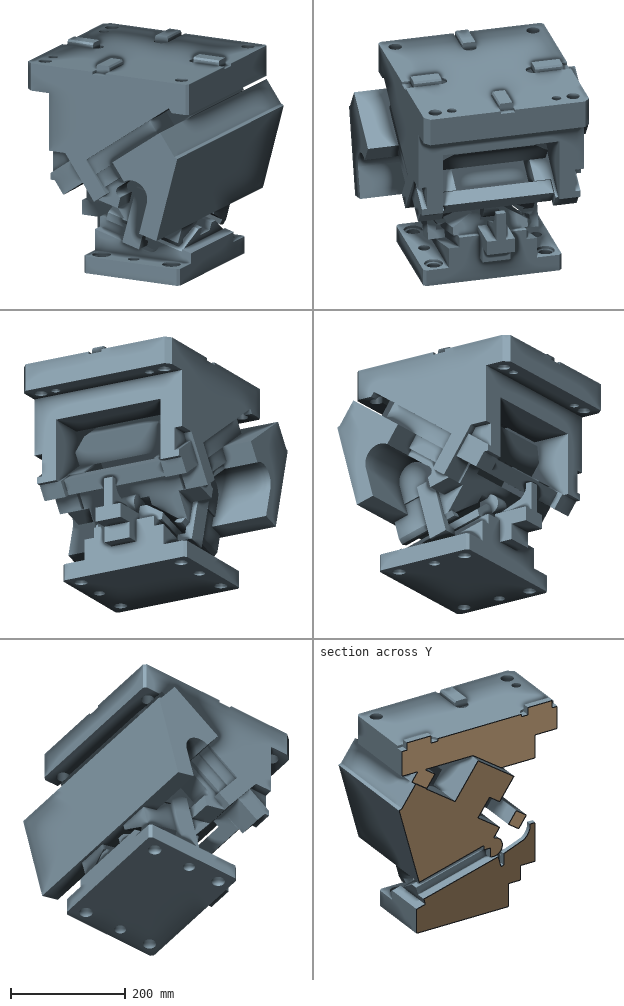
import cadquery as cq
import math


TRAVEL_ANGLE = math.radians(35)
TRAVEL_ORIGIN = (112.5, 171.0)

RIDGE_ANGLE = math.radians(15)
RIDGE_ORIGIN = (125.5, 121.0)

PLATE_LENGTH = 320.5
PLATE_HALF = 149.5
PLATE_TOP = 374.5
PLATE_FRONT_UNDERSIDE = 325.0
PLATE_REAR_UNDERSIDE = 319.5
PLATE_FRONT_CHAMFER = (11.0, 9.0)
PLATE_REAR_CHAMFER = 5.0
LEG_FRONT = 45.5
LEG_NOTCH_TOP = 220.5
LEG_INNER_HALF = 105.5
LEG_CORE_HALF = 134.5
CLAW_LENGTH = 29.0
CLAW_BOTTOM = -39.0
WINDOW_TOP = 279.0
CHANNEL_CLEARANCE = 4
RAIL_THICKNESS = 30.5
RAIL_END = 180.5
RAIL_INNER_HALF = 71.0
RAIL_OUTER_HALF = 145.0
END_STOP_START = 191.0
END_STOP_END = 229.0
STOP_HALF = 99.5
BAR_START = -40
BAR_END = -13.5
BAR_HEIGHT = 28.5
CLAMP_LENGTH = 50.5
CLAMP_HEIGHT = 44.5
CLAMP_FRONT_TOP = 178.5
FILLER_INNER_HALF = 101.0
FILLER_HEIGHT = 29.5
CLAMP_OUTER_HALF = 143.5
MOUNT_HOLE_DIAMETER = 23.0
DOWEL_HOLE_DIAMETER = 17.0
FRONT_HOLE_X = 25.5
REAR_HOLE_X = 295.0
MOUNT_HOLE_Y = 125.0
DOWEL_HOLE_Y = 95.0

KEY_TOP = 384
KEY_LENGTH = 50.5
KEY_WIDTH = 25.5
KEY_CHAMFER_DROP = 3.5
KEY_CHAMFER_INSET = 2.0
KEYWAY_DEPTH = 5.0
KEYWAY_X = 145.0
KEY_EDGE_GAP_X = 11.0
KEY_EDGE_GAP_Y = 15.0

SLIDE_HALF = 200
WING_FRONT = 104.5
WING_END = 219.0
WING_END_DEPTH = 49.5
WING_TIP_HEIGHT = 180
WING_BOTTOM = 20.5
WING_REAR = 159.0
ARCH_FRONT = 44.5
ARCH_REAR = 124
ARCH_STEP = 41.0
ARCH_RADIUS = 31.0
ARCH_NOSE_RADIUS = 10.0
ARCH_INNER_HALF = 94.0
UPPER_CORE_HALF = 100
LOWER_CORE_HALF = 90.5
LOWER_CORE_BOTTOM = -15.0
LOWER_CORE_REAR = 153.0
FLANK_HALF = 134.5
LIP_HALF = 142.0
LIP_DEPTH = 27.0
SKIRT_START = 38.5
SKIRT_BOTTOM_HALF = 84.5
SKIRT_BOTTOM = -23.0
TROUGH_DEPTH = 10.5
NECK_START = 54.5
HEAD_HALF = 100
HEAD_START = 29.0
HEAD_END = 120
HEAD_HEIGHT = 52
HEAD_CHAMFER = (26.0, 24.5)
KEEL_SLOT_HALF = 31.0
CAVITY_CROWN = 10.5
CAVITY_SHOULDER = (73.5, -11.0)
CAVITY_PAD = (69.0, -19.5)
CAVITY_MOUTH_HALF = 80
NOSE_HALF = 13.0
NOSE_RADIUS = 18.5
NOSE_CENTRE = (131.0, 126.5)
NOSE_LIP = 7.0
NOSE_NECK_LENGTH = 20

HOOK_START = 54.0
HOOK_END = 88.5
HOOK_TOP = 56
HOOK_BOTTOM = -51.0
HOOK_TOE_TOP = -36.5
HOOK_INNER_HALF = 84.5
HOOK_OUTER_HALF = 100
HOOK_TOE_HALF = 69.5

BASE_FRONT = 100.5
BASE_REAR = 290.0
BASE_HALF = 125.0
BASE_THICKNESS = 30.5
BASE_CHAMFER = 5.0
PEDESTAL_HALF = 80
PEDESTAL_TOP = 87.0
RIDGE_LENGTH = 159.0
RIDGE_TOP_HALF = 31.0
RIDGE_SLOPE = 0.64
RIDGE_FOOT = -37.5
RIDGE_NOTCH_HALF = 17.5
RIDGE_NOTCH_DEPTH = 15.5
REAR_SEAT = -27.0
SIDE_RELIEF_HALF = 67.5
GROOVE_HALF = 61.0
GROOVE_BOTTOM = -57.0
GROOVE_END = 115.0
GROOVE_END_RADIUS = 19.0
BOLT_HOLE_X = (124.5, 262.5)
BOLT_HOLE_Y = 101.0
BOLT_HOLE_DIAMETER = 23.5
BOLT_HEAD_DIAMETER = 33.0
BOLT_HEAD_DEPTH = 5.0
PIN_HOLE_X = 188
PIN_HOLE_DIAMETER = 21.0

FIN_FRONT = 45.5
FIN_BACK = 111.0
FIN_HALF = 8.5
FIN_TOP = 152
FIN_TOP_LENGTH = 11.0
FIN_CURVE_MIDDLE = (60, 135.0)
FIN_CURVE_END = (69.5, 124.5)
FIN_BACK_TOP = 108.5
BLOCK_HALF = 25.0
BLOCK_TOP = 100.5
BLOCK_UNDERSIDE = 74.5
BLOCK_STEP_X = 76
BLOCK_BOTTOM = 45.5

FAR = 400


def travel(u, v):
    """X, Z of a point given in the slide travel frame."""
    x = TRAVEL_ORIGIN[0] + u * math.cos(TRAVEL_ANGLE) - v * math.sin(TRAVEL_ANGLE)
    z = TRAVEL_ORIGIN[1] + u * math.sin(TRAVEL_ANGLE) + v * math.cos(TRAVEL_ANGLE)
    return (x, z)


def ridge(s, w):
    """X, Z of a point given in the ridge frame."""
    x = RIDGE_ORIGIN[0] + s * math.cos(RIDGE_ANGLE) + w * math.sin(RIDGE_ANGLE)
    z = RIDGE_ORIGIN[1] - s * math.sin(RIDGE_ANGLE) + w * math.cos(RIDGE_ANGLE)
    return (x, z)


def prism(points, half):
    """A profile in XZ, extruded to half on both sides of the centre plane."""
    return cq.Workplane("XZ").polyline(points).close().extrude(half, both=True)


def rounded(body, corner, radius):
    """The prism with its edge at the X, Z corner filleted."""
    x, z = corner
    return body.edges(cq.selectors.NearestToPointSelector((x, 0, z))).fillet(radius)


def pair(points, inner, outer):
    """Two mirrored prisms between the inner and outer half widths."""
    return prism(points, outer).cut(prism(points, inner))


def rectangle(frame, start, end, bottom, top):
    """Corner points of a rectangle in the travel or ridge frame."""
    return [frame(start, bottom), frame(end, bottom), frame(end, top), frame(start, top)]


def mirrored(half_points):
    """A Y-symmetric outline from its points on the +Y side."""
    return half_points + [(-y, height) for y, height in reversed(half_points)]


def along_travel(half_points, start, end):
    """A Y-symmetric section extruded along the slide travel."""
    x, z = travel(start, 0)
    direction = (math.cos(TRAVEL_ANGLE), 0, math.sin(TRAVEL_ANGLE))
    plane = cq.Plane(origin=(x, 0, z), xDir=(0, 1, 0), normal=direction)
    return cq.Workplane(plane).polyline(mirrored(half_points)).close().extrude(end - start)


def along_ridge(half_points, start, end):
    """A Y-symmetric section extruded along the ridge."""
    x, z = ridge(start, 0)
    direction = (math.cos(RIDGE_ANGLE), 0, -math.sin(RIDGE_ANGLE))
    plane = cq.Plane(origin=(x, 0, z), xDir=(0, 1, 0), normal=direction)
    return cq.Workplane(plane).polyline(mirrored(half_points)).close().extrude(end - start)


def vertical_holes(points, diameter, bottom, top):
    """Cylinders that cut round holes from bottom to top."""
    plane = cq.Workplane("XY").workplane(offset=bottom)
    return plane.pushPoints(points).circle(diameter / 2).extrude(top - bottom)


def on_both_sides(x, y):
    return [(x, y), (x, -y)]


def ridge_height(y):
    """w of the sloping ridge flank at half width y."""
    return -(y - RIDGE_TOP_HALF) * RIDGE_SLOPE


def holder_plate():
    dx, dy = PLATE_FRONT_CHAMFER
    rear = PLATE_LENGTH - PLATE_REAR_CHAMFER
    side = PLATE_HALF - PLATE_REAR_CHAMFER
    outline = [(0, PLATE_HALF - dy), (dx, PLATE_HALF), (rear, PLATE_HALF), (PLATE_LENGTH, side)]
    outline += [(x, -y) for x, y in reversed(outline)]
    return cq.Workplane("XY").polyline(outline).close().extrude(PLATE_TOP)


def leg_foot():
    """X, Z of the rear corner of the leg foot, on the front face of the clamps."""
    return travel(-CLAMP_LENGTH, FILLER_HEIGHT)


def holder_body():
    incline = math.tan(TRAVEL_ANGLE)
    x, z = travel(END_STOP_END, RAIL_THICKNESS)
    underside_end = x + (z - PLATE_REAR_UNDERSIDE) * incline
    x, z = travel(0, 0)
    notch_corner = x - (LEG_NOTCH_TOP - z) * incline
    profile = [
        (0, PLATE_TOP),
        (0, PLATE_FRONT_UNDERSIDE),
        (LEG_FRONT, PLATE_FRONT_UNDERSIDE),
        (LEG_FRONT, LEG_NOTCH_TOP),
        (notch_corner, LEG_NOTCH_TOP),
        travel(0, CLAW_BOTTOM),
        travel(CLAW_LENGTH, CLAW_BOTTOM),
        travel(CLAW_LENGTH, RAIL_THICKNESS),
        travel(END_STOP_END, RAIL_THICKNESS),
        (underside_end, PLATE_REAR_UNDERSIDE),
        (PLATE_LENGTH, PLATE_REAR_UNDERSIDE),
        (PLATE_LENGTH, PLATE_TOP),
    ]
    foot = leg_foot()
    leg_core = [
        (LEG_FRONT, LEG_NOTCH_TOP),
        (LEG_FRONT, foot[1]),
        foot,
        travel(0, 0),
        (notch_corner, LEG_NOTCH_TOP),
    ]
    body = prism(profile, PLATE_HALF).intersect(holder_plate())
    return body.union(prism(leg_core, LEG_CORE_HALF)).cut(holder_channel())


def holder_channel():
    """The space between the legs, with a roof that rises along the slide travel."""
    incline = math.tan(TRAVEL_ANGLE)
    x, z = travel(0, RAIL_THICKNESS + HEAD_HEIGHT + CHANNEL_CLEARANCE)
    roof_low = x + (WINDOW_TOP - z) / incline
    roof_high = x + (PLATE_REAR_UNDERSIDE - z) / incline
    profile = [
        (0, WINDOW_TOP),
        (roof_low, WINDOW_TOP),
        (roof_high, PLATE_REAR_UNDERSIDE),
        (FAR, PLATE_REAR_UNDERSIDE),
        (FAR, 0),
        (0, 0),
    ]
    return prism(profile, LEG_INNER_HALF)


def holder_guides():
    foot = leg_foot()
    clamp = [
        travel(0, 0),
        travel(-CLAMP_LENGTH, 0),
        foot,
        (LEG_FRONT, foot[1]),
        (LEG_FRONT, CLAMP_FRONT_TOP),
        travel(0, CLAMP_HEIGHT),
    ]
    filler = rectangle(travel, -CLAMP_LENGTH, 0, 0, FILLER_HEIGHT)
    front_rail = rectangle(travel, BAR_END, CLAW_LENGTH, 0, RAIL_THICKNESS)
    rail = rectangle(travel, CLAW_LENGTH, RAIL_END, 0, RAIL_THICKNESS)
    bar = rectangle(travel, BAR_START, BAR_END, 0, BAR_HEIGHT)
    end_stop = rectangle(travel, END_STOP_START, END_STOP_END, 0, RAIL_THICKNESS)
    guides = pair(rail, RAIL_INNER_HALF, RAIL_OUTER_HALF)
    guides = guides.union(pair(front_rail, RAIL_INNER_HALF, LEG_CORE_HALF))
    guides = guides.union(pair(clamp, LEG_INNER_HALF, CLAMP_OUTER_HALF))
    guides = guides.union(pair(filler, FILLER_INNER_HALF, LEG_INNER_HALF))
    return guides.union(prism(bar, STOP_HALF)).union(prism(end_stop, STOP_HALF))


def keyway_and_key(x, y, angle, gap):
    """Cutter and key for an edge at (x, y), pointing inward along the angle."""
    floor = PLATE_TOP - KEYWAY_DEPTH
    slot_end = gap + KEY_LENGTH
    keyway = cq.Workplane("XY").workplane(offset=floor).center(slot_end / 2, 0)
    keyway = keyway.rect(slot_end, KEY_WIDTH).extrude(FAR)
    round_end = cq.Workplane("XY").workplane(offset=floor).center(slot_end, 0)
    keyway = keyway.union(round_end.circle(KEY_WIDTH / 2).extrude(FAR))
    top_half = KEY_WIDTH / 2 - KEY_CHAMFER_INSET
    shoulder = KEY_TOP - KEY_CHAMFER_DROP
    section = mirrored([(KEY_WIDTH / 2, floor), (KEY_WIDTH / 2, shoulder), (top_half, KEY_TOP)])
    key = cq.Workplane("YZ").workplane(offset=gap).polyline(section).close().extrude(KEY_LENGTH)
    return [part.rotate((0, 0, 0), (0, 0, 1), angle).translate((x, y, 0)) for part in (keyway, key)]


def make_holder():
    body = holder_body().union(holder_guides())
    mount_holes = on_both_sides(FRONT_HOLE_X, MOUNT_HOLE_Y) + on_both_sides(REAR_HOLE_X, MOUNT_HOLE_Y)
    dowel_holes = on_both_sides(FRONT_HOLE_X, DOWEL_HOLE_Y)
    hole_bottom = PLATE_REAR_UNDERSIDE
    body = body.cut(vertical_holes(mount_holes, MOUNT_HOLE_DIAMETER, hole_bottom, PLATE_TOP))
    body = body.cut(vertical_holes(dowel_holes, DOWEL_HOLE_DIAMETER, hole_bottom, PLATE_TOP))
    edges = [
        (0, 0, 0, KEY_EDGE_GAP_X),
        (PLATE_LENGTH, 0, 180, KEY_EDGE_GAP_X),
        (KEYWAY_X, -PLATE_HALF, 90, KEY_EDGE_GAP_Y),
        (KEYWAY_X, PLATE_HALF, -90, KEY_EDGE_GAP_Y),
    ]
    for edge in edges:
        keyway, key = keyway_and_key(*edge)
        body = body.cut(keyway).union(key)
    return body


def slide_wings():
    wing = [
        travel(WING_FRONT, 0),
        travel(WING_END, 0),
        travel(WING_END, -WING_END_DEPTH),
        ridge(WING_REAR, WING_TIP_HEIGHT),
        ridge(WING_REAR, WING_BOTTOM),
        ridge(ARCH_REAR, WING_BOTTOM),
        travel(WING_FRONT, CLAW_BOTTOM),
    ]
    flank = [
        travel(0, CLAW_BOTTOM),
        travel(CLAW_LENGTH, CLAW_BOTTOM),
        travel(CLAW_LENGTH, 0),
        travel(WING_FRONT, 0),
        travel(WING_FRONT, CLAW_BOTTOM),
        ridge(ARCH_FRONT, WING_BOTTOM),
    ]
    lip = rectangle(travel, CLAW_LENGTH, WING_FRONT, -LIP_DEPTH, 0)
    return prism(wing, SLIDE_HALF).union(prism(flank, FLANK_HALF)).union(prism(lip, LIP_HALF))


def side_arch():
    """The arched opening under the wings, with a rounded nose that reaches forward."""
    turn = TRAVEL_ANGLE + RIDGE_ANGLE
    x, z = ridge(0, 0)
    sin_travel, cos_travel = math.sin(TRAVEL_ANGLE), math.cos(TRAVEL_ANGLE)
    origin_v = (z - TRAVEL_ORIGIN[1]) * cos_travel - (x - TRAVEL_ORIGIN[0]) * sin_travel
    nose_s = (origin_v + ARCH_STEP * math.cos(turn) - CLAW_BOTTOM) / math.sin(turn)
    crown_w = (CLAW_BOTTOM - origin_v + ARCH_REAR * math.sin(turn)) / math.cos(turn)
    outline = [
        ridge(ARCH_FRONT, 0),
        ridge(ARCH_FRONT, ARCH_STEP),
        ridge(nose_s, ARCH_STEP),
        ridge(ARCH_REAR, crown_w),
        ridge(ARCH_REAR, 0),
    ]
    arch = rounded(prism(outline, SLIDE_HALF), ridge(ARCH_REAR, crown_w), ARCH_RADIUS)
    return rounded(arch, ridge(nose_s, ARCH_STEP), ARCH_NOSE_RADIUS)


def slide_upper_core():
    upper = [
        travel(0, 0),
        travel(WING_END, 0),
        ridge(LOWER_CORE_REAR, ARCH_STEP),
        ridge(ARCH_FRONT, ARCH_STEP),
        ridge(ARCH_FRONT, WING_BOTTOM),
        travel(0, CLAW_BOTTOM),
    ]
    return prism(upper, UPPER_CORE_HALF)


def slide_lower_core():
    x, z = travel(0, 0)
    height = (z - RIDGE_ORIGIN[1]) * math.cos(RIDGE_ANGLE) + (x - RIDGE_ORIGIN[0]) * math.sin(RIDGE_ANGLE)
    front_depth = (height - LOWER_CORE_BOTTOM) / math.cos(TRAVEL_ANGLE + RIDGE_ANGLE)
    lower = [
        travel(0, CLAW_BOTTOM),
        travel(0, -front_depth),
        ridge(LOWER_CORE_REAR, LOWER_CORE_BOTTOM),
        ridge(LOWER_CORE_REAR, ARCH_STEP),
        ridge(ARCH_FRONT, ARCH_STEP),
    ]
    skirt_section = [(SKIRT_BOTTOM_HALF, SKIRT_BOTTOM), (LOWER_CORE_HALF, LOWER_CORE_BOTTOM)]
    skirt = along_ridge(skirt_section, SKIRT_START, LOWER_CORE_REAR)
    return prism(lower, LOWER_CORE_HALF).union(skirt)


def slide_head():
    """T-shaped head that hooks over the holder rails."""
    bottom = RAIL_THICKNESS
    top = bottom + HEAD_HEIGHT
    dy, dv = HEAD_CHAMFER
    section = [(HEAD_HALF, bottom), (HEAD_HALF, top - dv), (HEAD_HALF - dy, top)]
    head = along_travel(section, HEAD_START, HEAD_END)
    neck = rectangle(travel, NECK_START, HEAD_END, -TROUGH_DEPTH, bottom)
    return head.union(prism(neck, RAIL_INNER_HALF))


def slide_trough():
    return prism(rectangle(travel, 0, NECK_START, -TROUGH_DEPTH, 0), RAIL_INNER_HALF)


def ridge_clearance():
    """V cavity over the ridge, narrowed by a pad at each foot, with a deeper slot along its middle."""
    section = [
        (CAVITY_MOUTH_HALF, SKIRT_BOTTOM),
        CAVITY_PAD,
        CAVITY_SHOULDER,
        (KEEL_SLOT_HALF, CAVITY_CROWN),
    ]
    v_cavity = along_ridge(section, -FAR, FAR)
    slot = along_ridge([(KEEL_SLOT_HALF, RIDGE_FOOT), (KEEL_SLOT_HALF, WING_BOTTOM)], -FAR, FAR)
    return v_cavity.union(slot)


def slide_nose():
    """Rounded catch in the middle of the slide front, facing the base fin."""
    x, z = NOSE_CENTRE
    profile = cq.Workplane("XZ").moveTo(x, z + NOSE_RADIUS)
    profile = profile.threePointArc((x - NOSE_RADIUS, z), (x, z - NOSE_RADIUS))
    profile = profile.lineTo(x + NOSE_LIP, z - NOSE_RADIUS).lineTo(x + NOSE_LIP, z)
    profile = profile.lineTo(x + NOSE_NECK_LENGTH, z).lineTo(x + NOSE_NECK_LENGTH, z + NOSE_RADIUS)
    return profile.close().extrude(NOSE_HALF, both=True)


def slide_hooks():
    plate = rectangle(ridge, HOOK_START, HOOK_END, HOOK_BOTTOM, HOOK_TOP)
    toe = rectangle(ridge, HOOK_START, HOOK_END, HOOK_BOTTOM, HOOK_TOE_TOP)
    return pair(plate, HOOK_INNER_HALF, HOOK_OUTER_HALF).union(pair(toe, HOOK_TOE_HALF, HOOK_OUTER_HALF))


def make_slide():
    arch = side_arch()
    arch_middle = cq.Workplane("XY").box(FAR, 2 * ARCH_INNER_HALF, FAR).translate((FAR / 2, 0, FAR / 2))
    body = slide_wings().cut(arch).union(slide_upper_core().cut(arch.cut(arch_middle)))
    body = body.union(slide_lower_core()).cut(slide_trough())
    body = body.cut(ridge_clearance()).union(slide_head())
    return body.union(slide_nose()).union(slide_hooks())


def base_plate():
    centre = (BASE_FRONT + BASE_REAR) / 2
    plate = cq.Workplane("XY").center(centre, 0).rect(BASE_REAR - BASE_FRONT, 2 * BASE_HALF)
    plate = plate.extrude(BASE_THICKNESS).edges("|Z").chamfer(BASE_CHAMFER)
    bolts = [spot for x in BOLT_HOLE_X for spot in on_both_sides(x, BOLT_HOLE_Y)]
    heads = vertical_holes(bolts, BOLT_HEAD_DIAMETER, BASE_THICKNESS - BOLT_HEAD_DEPTH, BASE_THICKNESS)
    plate = plate.cut(heads).cut(vertical_holes(bolts, BOLT_HOLE_DIAMETER, 0, BASE_THICKNESS))
    pins = on_both_sides(PIN_HOLE_X, BOLT_HOLE_Y)
    return plate.cut(vertical_holes(pins, PIN_HOLE_DIAMETER, 0, BASE_THICKNESS))


def ridge_z(x, w):
    """Z at which a level w of the ridge frame passes a given X."""
    x0, z0 = ridge(0, w)
    return z0 - (x - x0) * math.tan(RIDGE_ANGLE)


def base_pedestal():
    x, z = ridge(0, RIDGE_FOOT)
    flat_end = x - (PEDESTAL_TOP - z) / math.tan(RIDGE_ANGLE)
    profile = [
        (BASE_FRONT, 0),
        (BASE_FRONT, PEDESTAL_TOP),
        (flat_end, PEDESTAL_TOP),
        ridge(RIDGE_LENGTH, RIDGE_FOOT),
        ridge(RIDGE_LENGTH, REAR_SEAT),
        (BASE_REAR, ridge_z(BASE_REAR, REAR_SEAT)),
        (BASE_REAR, 0),
    ]
    return prism(profile, PEDESTAL_HALF)


def base_ridge():
    foot = ridge_height(PEDESTAL_HALF)
    section = [(PEDESTAL_HALF, RIDGE_FOOT), (PEDESTAL_HALF, foot), (RIDGE_TOP_HALF, 0)]
    body = along_ridge(section, 0, RIDGE_LENGTH)
    notch = prism(rectangle(ridge, 0, RIDGE_LENGTH, -RIDGE_NOTCH_DEPTH, 0), RIDGE_NOTCH_HALF)
    return body.cut(notch)


def hook_channels():
    """Side reliefs and round-ended grooves that take the slide hooks."""
    relief = rectangle(ridge, -FAR, HOOK_END, RIDGE_FOOT, FAR)
    groove = rectangle(ridge, -FAR, GROOVE_END, GROOVE_BOTTOM, RIDGE_FOOT)
    grooves = rounded(prism(groove, BASE_HALF), groove[1], GROOVE_END_RADIUS)
    grooves = grooves.cut(prism(groove, GROOVE_HALF))
    return pair(relief, SIDE_RELIEF_HALF, BASE_HALF).union(grooves)


def return_block():
    block = [
        (FIN_FRONT, BLOCK_TOP),
        (FIN_FRONT, BLOCK_UNDERSIDE),
        (BLOCK_STEP_X, BLOCK_UNDERSIDE),
        (BLOCK_STEP_X, BLOCK_BOTTOM),
        (FIN_BACK, BLOCK_BOTTOM),
        (FIN_BACK, BLOCK_TOP),
    ]
    fin = cq.Workplane("XZ").moveTo(FIN_FRONT, BLOCK_TOP).lineTo(FIN_FRONT, FIN_TOP)
    fin = fin.lineTo(FIN_FRONT + FIN_TOP_LENGTH, FIN_TOP)
    fin = fin.threePointArc(FIN_CURVE_MIDDLE, FIN_CURVE_END)
    fin = fin.lineTo(FIN_BACK, FIN_BACK_TOP).lineTo(FIN_BACK, BLOCK_TOP).close()
    return prism(block, BLOCK_HALF).union(fin.extrude(FIN_HALF, both=True))


def make_base():
    body = base_pedestal().union(base_ridge()).cut(hook_channels())
    return body.union(base_plate()).union(return_block())


holder = make_holder()
slide = make_slide()
base = make_base()

result = cq.Compound.makeCompound([body.solids().val() for body in (holder, slide, base)])